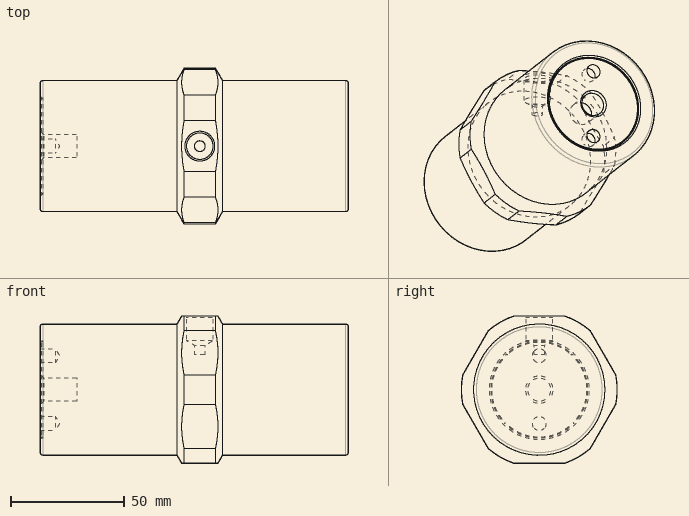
import cadquery as cq
import math

body_length = 136.0
body_diameter = 58.0
end_round = 1.2

collar_center_x = 2.5
collar_width = 20.1
across_flats = 65.0
corner_diameter = 68.8
flats_turn = 30.0
bevel_angle = 30.0

recess_diameter = 44.0
recess_bottom_diameter = 42.7
recess_depth = 0.7
rim_groove_inner_diameter = 41.9
rim_groove_depth = 0.5

center_hole_diameter = 10.2
center_hole_mouth = 12.1
center_hole_depth = 16.3

pin_hole_diameter = 6.1
pin_hole_offset = 15.0
pin_hole_depth = 6.8

port_diameter = 11.7
port_mouth = 13.2
port_depth = 10.9
port_bore_diameter = 4.8
port_bore_depth = 4.1

drill_tip_angle = 118.0


def tip_length(start_diameter, end_diameter=0.0):
    """Axial length of a drill-point cone between two diameters."""
    return (start_diameter - end_diameter) / 2 / math.tan(math.radians(drill_tip_angle / 2))


def revolved_cutter(profile):
    """Revolve (radius, depth) points about the entry axis; depth runs along -Z."""
    points = [(radius, -depth) for radius, depth in profile]
    return cq.Workplane("XZ").polyline(points).close().revolve(360, (0, 0), (0, 1))


def on_end_face(cutter, height=0.0):
    """Turn a cutter to enter the -X end face at the given height."""
    turned = cutter.rotate((0, 0, 0), (0, 1, 0), -90)
    return turned.translate((-body_length / 2, 0, height))


def make_body():
    cylinder = cq.Workplane("YZ").circle(body_diameter / 2).extrude(body_length / 2, both=True)
    return cylinder.faces("<X or >X").edges().fillet(end_round)


def make_collar():
    corner_radius = corner_diameter / 2
    body_radius = body_diameter / 2
    half_width = collar_width / 2
    bevel_length = (corner_radius - body_radius) * math.tan(math.radians(bevel_angle))
    hexagon = (
        cq.Workplane("YZ")
        .polygon(6, across_flats, circumscribed=True)
        .extrude(half_width, both=True)
        .rotate((0, 0, 0), (1, 0, 0), flats_turn)
    )
    turned_blank = (
        cq.Workplane("XY")
        .moveTo(-half_width, 0)
        .lineTo(-half_width, body_radius)
        .lineTo(-half_width + bevel_length, corner_radius)
        .lineTo(half_width - bevel_length, corner_radius)
        .lineTo(half_width, body_radius)
        .lineTo(half_width, 0)
        .close()
        .revolve(360, (0, 0), (1, 0))
    )
    return hexagon.intersect(turned_blank).translate((collar_center_x, 0, 0))


def make_recess():
    groove_floor = recess_depth + rim_groove_depth
    return revolved_cutter([
        (0, 0),
        (recess_diameter / 2, 0),
        (recess_bottom_diameter / 2, recess_depth),
        (recess_bottom_diameter / 2, groove_floor),
        (rim_groove_inner_diameter / 2, groove_floor),
        (rim_groove_inner_diameter / 2, recess_depth),
        (0, recess_depth),
    ])


def make_center_hole():
    hole_radius = center_hole_diameter / 2
    mouth_radius = center_hole_mouth / 2
    mouth_depth = recess_depth + mouth_radius - hole_radius
    return revolved_cutter([
        (0, 0),
        (mouth_radius, 0),
        (mouth_radius, recess_depth),
        (hole_radius, mouth_depth),
        (hole_radius, center_hole_depth),
        (0, center_hole_depth),
    ])


def make_pin_hole():
    hole_radius = pin_hole_diameter / 2
    return revolved_cutter([
        (0, 0),
        (hole_radius, 0),
        (hole_radius, pin_hole_depth),
        (0, pin_hole_depth + tip_length(pin_hole_diameter)),
    ])


def make_port():
    port_radius = port_diameter / 2
    mouth_radius = port_mouth / 2
    bore_radius = port_bore_diameter / 2
    cone_end = port_depth + tip_length(port_diameter, port_bore_diameter)
    port = revolved_cutter([
        (0, 0),
        (mouth_radius, 0),
        (port_radius, mouth_radius - port_radius),
        (port_radius, port_depth),
        (bore_radius, cone_end),
        (bore_radius, cone_end + port_bore_depth),
        (0, cone_end + port_bore_depth),
    ])
    return port.translate((collar_center_x, 0, across_flats / 2))


result = make_body().union(make_collar())
result = result.cut(on_end_face(make_recess()))
result = result.cut(on_end_face(make_center_hole()))
for side in (-1, 1):
    result = result.cut(on_end_face(make_pin_hole(), side * pin_hole_offset))
result = result.cut(make_port())